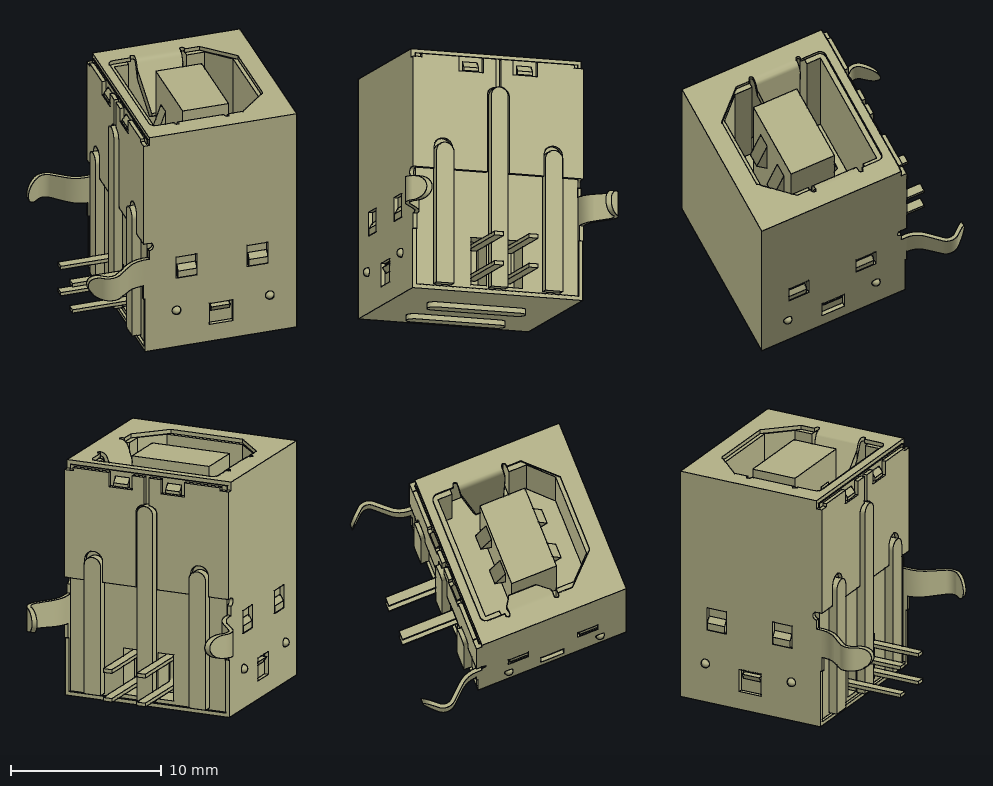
import cadquery as cq
import math


shell_width = 12.0
shell_depth = 10.7
shell_height = 16.25
sheet = 0.28
half_width = shell_width / 2
inner_half = half_width - sheet
inner_back = shell_depth - sheet
inner_top = shell_height - sheet

plate_edge_y = 0.4
foot_edge_y = 0.11
foot_top = 4.01
clip_bottom = 5.03
clip_top = 7.0
flap_bottom = 8.21
relief_radius = 0.28

flap_top = 15.88
flap_corner_top = 15.67
flap_corner_x = 5.37
seam_width = 0.34
latch_x = 1.9
latch_notch_width = 1.71
latch_notch_bottom = 14.9
middle_slot_half = 0.78
side_slot_inner = 3.22
side_slot_outer = 4.52
side_slot_top = 10.27

opening_back = 9.43
opening_back_half = 2.62
opening_half = 4.58
opening_shoulder_y = 7.4
opening_front = 0.99
opening_corner = 0.42

finger_root_x = 4.72
finger_front = 2.91
finger_back = 6.08
finger_slit = 0.3
finger_slit_end = 4.85
finger_taper_x = 4.08
finger_tip_x = 2.93
finger_tip_half = 0.96
finger_angle = math.radians(68)
finger_bend = 0.54
finger_length = 3.65
finger_middle = (finger_front + finger_back) / 2

clip_span = 14.9
clip_reach = 4.02
clip_angle = math.radians(42)
clip_first_bend_end = 1.26
clip_second_bend_end = 3.12
clip_tip_radius = 0.82
clip_tip_start = clip_reach - clip_tip_radius

upper_windows_y = (7.955, 3.0)
upper_window_length = 1.46
upper_window_bottom = 5.22
upper_window_top = 6.82
lower_window_y = 5.42
lower_window_length = 1.66
lower_window_bottom = 1.29
lower_window_top = 2.87
bumps_y = (8.8, 2.29)
bump_z = 2.79
bump_radius = 0.3
pads_y = (8.29, 4.29)
pad_length = 6.9
pad_width = 1.05
pad_height = 0.35

housing_face = 0.32
socket_back = 9.15
socket_back_half = 2.75
socket_half = 4.23
socket_shoulder_y = 7.66
socket_front = 1.35
socket_floor = 7.0
finger_pocket_front = 2.35
finger_pocket_back = 6.4
finger_pocket_x = 5.3

rib_face = -0.28
rib_bottom = 0.42
middle_rib_half = 0.58
middle_rib_top = 13.96
side_rib_outer = 4.45
side_rib_top = 9.93

catch_depth = 0.24
front_catch_width = 1.04
front_catch_bottom = 14.97
front_catch_crest = 15.2
front_catch_top = 15.6
upper_catch_length = 1.31
upper_catch_crest = 5.71
upper_catch_top = 6.12
lower_catch_length = 1.32
lower_catch_root = 2.17
lower_catch_top = 2.56
lower_pocket_top = 2.79

base_half = 3.0
base_front = 2.0
base_back = 8.0
base_top = 5.0
tongue_half = 2.82
tongue_front = 3.78
tongue_back = 6.98
contact_x = 1.25
contact_width = 0.98
contact_start = 14.0
contact_slope_end = 12.2
contact_crest_end = 11.9
contact_end = 11.0
contact_slope_rise = 0.65
contact_rise = 0.77
pin_x = 1.22
pin_width = 0.63
pin_thickness = 0.26
pins_z = (3.3, 1.3)
pin_reach = 3.49
pin_bend = 0.22
post_thickness = 0.26
pin_window_x = 1.26
pin_window_width = 1.11
pin_window_bottom = 0.55
pin_window_top = 3.75

SIDES = (-1, 1)


def box(x0, x1, y0, y1, z0, z1):
    """Block between two opposite corners."""
    size = (x1 - x0, y1 - y0, z1 - z0)
    middle = ((x0 + x1) / 2, (y0 + y1) / 2, (z0 + z1) / 2)
    return cq.Workplane("XY").box(*size).translate(middle)


def across_x(points, x0, x1):
    """Outline of (y, z) points extruded from x0 to x1."""
    return cq.Workplane("YZ").polyline(points).close().extrude(x1 - x0).translate((x0, 0, 0))


def mirrored(solid):
    """The solid together with its mirror image across the middle plane."""
    return solid.union(solid.mirror("YZ"))


def round_topped(x0, x1, y0, y1, z0, z1):
    """Upright bar from y0 to y1 whose top is a full half circle."""
    radius = (x1 - x0) / 2
    outline = (
        cq.Workplane("XZ", origin=(0, y1, 0))
        .moveTo(x0, z0)
        .lineTo(x1, z0)
        .lineTo(x1, z1 - radius)
        .threePointArc(((x0 + x1) / 2, z1), (x0, z1 - radius))
        .close()
    )
    return outline.extrude(y1 - y0)


def shell_box():
    """Hollow box with stepped front edges and an open lower front."""
    side_outline = [
        (shell_depth, 0),
        (shell_depth, shell_height),
        (plate_edge_y, shell_height),
        (plate_edge_y, flap_top),
        (0, flap_top),
        (0, flap_bottom),
        (plate_edge_y, flap_bottom),
        (plate_edge_y, clip_top),
        (0, clip_top),
        (0, foot_top),
        (foot_edge_y, foot_top),
        (foot_edge_y, 0),
    ]
    body = across_x(side_outline, -half_width, half_width)
    body = body.cut(box(-inner_half, inner_half, sheet, inner_back, sheet, inner_top))
    body = body.cut(box(-inner_half, inner_half, 0, plate_edge_y, sheet, flap_bottom))
    relief = (
        cq.Workplane("YZ")
        .center(plate_edge_y, flap_bottom - relief_radius)
        .circle(relief_radius)
        .extrude(half_width, both=True)
    )
    return body.cut(relief)


def flap_cutouts():
    """Seam, corner steps, latch notches and rib slots of the front flaps."""
    middle_slot = (
        box(-middle_slot_half, middle_slot_half, 0, sheet, flap_bottom, middle_rib_top)
        .edges("|Y and >Z")
        .fillet(middle_slot_half - seam_width / 2)
    )
    seam = box(-seam_width / 2, seam_width / 2, 0, sheet, flap_bottom, flap_top)
    corner = box(flap_corner_x, half_width, 0, plate_edge_y, flap_corner_top, flap_top)
    notch = box(
        latch_x - latch_notch_width / 2,
        latch_x + latch_notch_width / 2,
        0,
        plate_edge_y,
        latch_notch_bottom,
        flap_top,
    )
    side_slot = round_topped(side_slot_inner, side_slot_outer, 0, sheet, flap_bottom, side_slot_top)
    return middle_slot.union(seam).union(mirrored(corner.union(notch).union(side_slot)))


def opening_cutout():
    """Eight-sided socket opening with the slits beside the two fingers."""
    outline = [
        (-opening_back_half, opening_back),
        (opening_back_half, opening_back),
        (opening_half, opening_shoulder_y),
        (opening_half, opening_front),
        (-opening_half, opening_front),
        (-opening_half, opening_shoulder_y),
    ]
    hole = cq.Workplane("XY", origin=(0, 0, inner_top)).polyline(outline).close().extrude(sheet)
    hole = hole.edges("|Z and <Y").fillet(opening_corner)
    hole = hole.union(
        box(-finger_root_x, finger_root_x, finger_front, finger_back, inner_top, shell_height)
    )
    for slit_y in (finger_front - finger_slit / 2, finger_back + finger_slit / 2):
        slit = (
            cq.Workplane("XY", origin=(0, slit_y, inner_top))
            .slot2D(2 * finger_slit_end, finger_slit)
            .extrude(sheet)
        )
        hole = hole.union(slit)
    return hole


def finger():
    """Right-hand finger: bent down from the top plate and tapered towards its tip."""
    sin_a = math.sin(finger_angle)
    cos_a = math.cos(finger_angle)
    sin_half = math.sin(finger_angle / 2)
    cos_half = math.cos(finger_angle / 2)
    center_z = shell_height - finger_bend
    inner_bend = finger_bend - sheet

    def on_bend(radius, sine, cosine):
        return (finger_root_x - radius * sine, center_z + radius * cosine)

    outer_end = on_bend(finger_bend, sin_a, cos_a)
    inner_end = on_bend(inner_bend, sin_a, cos_a)
    step_x = -finger_length * cos_a
    step_z = -finger_length * sin_a
    strip = (
        cq.Workplane("XZ", origin=(0, finger_back, 0))
        .moveTo(finger_root_x, inner_top)
        .lineTo(finger_root_x, shell_height)
        .threePointArc(on_bend(finger_bend, sin_half, cos_half), outer_end)
        .lineTo(outer_end[0] + step_x, outer_end[1] + step_z)
        .lineTo(inner_end[0] + step_x, inner_end[1] + step_z)
        .lineTo(*inner_end)
        .threePointArc(on_bend(inner_bend, sin_half, cos_half), (finger_root_x, inner_top))
        .close()
        .extrude(finger_back - finger_front)
    )
    taper = [
        (finger_root_x, finger_front),
        (finger_root_x, finger_back),
        (finger_taper_x, finger_back),
        (finger_tip_x, finger_middle + finger_tip_half),
        (finger_tip_x, finger_middle - finger_tip_half),
        (finger_taper_x, finger_front),
    ]
    return strip.intersect(cq.Workplane("XY").polyline(taper).close().extrude(shell_height))


def clip():
    """Right-hand board clip: an S-bent strip with a tapered outline and a round tip."""
    sin_a = math.sin(clip_angle)
    cos_a = math.cos(clip_angle)
    first_radius = clip_first_bend_end / sin_a
    start_x = half_width - sheet / 2
    first_end_x = start_x + first_radius * (1 - cos_a)
    widest_x = clip_span / 2 - sheet / 2

    slope = math.tan(clip_angle)
    rise = widest_x - first_end_x - (clip_second_bend_end - clip_first_bend_end) * slope
    second_radius = rise / (1 - cos_a - 2 * sin_a * slope)
    second_start_y = clip_second_bend_end - 2 * second_radius * sin_a
    second_end_x = widest_x - second_radius * (1 - cos_a)
    tip_run = clip_reach - clip_second_bend_end + sheet

    half_a = clip_angle / 2
    first_middle = (
        start_x + first_radius * (1 - math.cos(half_a)),
        -first_radius * math.sin(half_a),
    )
    path = (
        cq.Workplane("XY")
        .moveTo(start_x, 0)
        .threePointArc(first_middle, (first_end_x, -clip_first_bend_end))
        .lineTo(second_end_x, -second_start_y)
        .threePointArc(
            (widest_x, -(second_start_y + clip_second_bend_end) / 2),
            (second_end_x, -clip_second_bend_end),
        )
        .lineTo(second_end_x - tip_run * slope, -clip_second_bend_end - tip_run)
    )
    strip = (
        cq.Workplane("XZ")
        .center(start_x, (clip_bottom + clip_top) / 2)
        .rect(sheet, clip_top - clip_bottom)
        .sweep(path)
    )
    tip_z = (clip_bottom + clip_top) / 2
    silhouette = (
        cq.Workplane("YZ")
        .moveTo(0, clip_bottom)
        .lineTo(0, clip_top)
        .lineTo(-clip_tip_start, tip_z + clip_tip_radius)
        .threePointArc((-clip_reach, tip_z), (-clip_tip_start, tip_z - clip_tip_radius))
        .close()
        .extrude(clip_span)
    )
    return strip.intersect(silhouette)


def side_windows():
    """Catch windows through both side walls."""
    cuts = box(
        -half_width,
        half_width,
        lower_window_y - lower_window_length / 2,
        lower_window_y + lower_window_length / 2,
        lower_window_bottom,
        lower_window_top,
    )
    for window_y in upper_windows_y:
        window = box(
            -half_width,
            half_width,
            window_y - upper_window_length / 2,
            window_y + upper_window_length / 2,
            upper_window_bottom,
            upper_window_top,
        )
        cuts = cuts.union(window)
    return cuts


def make_shell():
    body = shell_box().cut(flap_cutouts()).cut(opening_cutout()).cut(side_windows())
    body = body.union(mirrored(finger())).union(mirrored(clip()))
    inside = box(-inner_half, inner_half, sheet, inner_back, sheet, inner_top)
    for bump_y in bumps_y:
        for side in SIDES:
            bump = cq.Workplane("XY").sphere(bump_radius)
            body = body.union(bump.translate((side * half_width, bump_y, bump_z)).cut(inside))
    for pad_y in pads_y:
        pad = cq.Workplane("XY", origin=(0, pad_y, 0)).slot2D(pad_length, pad_width)
        body = body.union(pad.extrude(-pad_height))
    return body


def contact(side_y, face_y):
    """Outline in (y, z) of a contact bulging in direction side_y from the tongue face at face_y."""
    return [
        (face_y, contact_start),
        (face_y + side_y * contact_slope_rise, contact_slope_end),
        (face_y + side_y * contact_rise, contact_crest_end),
        (face_y, contact_end),
    ]


def pin_pair():
    """Post on the base face with the two board pins that leave it."""
    x0 = -pin_width / 2
    x1 = pin_width / 2
    post_face = base_front - post_thickness
    post = box(x0, x1, post_face, base_front, pins_z[1] - pin_thickness / 2, pin_window_top)
    for pin_z in pins_z:
        pin_top = pin_z + pin_thickness / 2
        post = post.union(box(x0, x1, -pin_reach, base_front, pin_top - pin_thickness, pin_top))
        bend = (
            cq.Workplane("YZ")
            .moveTo(post_face - pin_bend, pin_top)
            .radiusArc((post_face, pin_top + pin_bend), -pin_bend)
            .lineTo(post_face, pin_top)
            .close()
            .extrude(pin_width)
            .translate((x0, 0, 0))
        )
        post = post.union(bend)
    return post


def block_core():
    """Base with the tongue standing on it."""
    base = box(-base_half, base_half, base_front, base_back, sheet, base_top)
    return base.union(
        box(-tongue_half, tongue_half, tongue_front, tongue_back, base_top, inner_top)
    )


def make_contact_block():
    block = block_core()
    for side in SIDES:
        x0 = side * contact_x - contact_width / 2
        for side_y, face_y in ((-1, tongue_front), (1, tongue_back)):
            block = block.union(across_x(contact(side_y, face_y), x0, x0 + contact_width))
        block = block.union(pin_pair().translate((side * pin_x, 0, 0)))
    return block


def socket_cavity():
    """Socket well with a pocket behind each finger."""
    outline = [
        (-socket_back_half, socket_back),
        (socket_back_half, socket_back),
        (socket_half, socket_shoulder_y),
        (socket_half, socket_front),
        (-socket_half, socket_front),
        (-socket_half, socket_shoulder_y),
    ]
    well = (
        cq.Workplane("XY", origin=(0, 0, socket_floor))
        .polyline(outline)
        .close()
        .extrude(inner_top - socket_floor)
    )
    pockets = box(
        -finger_pocket_x,
        finger_pocket_x,
        finger_pocket_front,
        finger_pocket_back,
        socket_floor,
        inner_top,
    )
    return well.union(pockets)


def front_ribs():
    """Three upright ribs on the front face."""
    middle = round_topped(
        -middle_rib_half, middle_rib_half, rib_face, housing_face, rib_bottom, middle_rib_top
    )
    side = round_topped(
        side_slot_inner, side_rib_outer, rib_face, housing_face, rib_bottom, side_rib_top
    )
    return middle.union(mirrored(side))


def front_catches():
    """Wedges in the latch notches of the flaps."""
    crest_y = sheet - catch_depth
    profile = [
        (housing_face, front_catch_bottom),
        (crest_y, front_catch_bottom),
        (crest_y, front_catch_crest),
        (housing_face, front_catch_top),
    ]
    x0 = latch_x - front_catch_width / 2
    return mirrored(across_x(profile, x0, x0 + front_catch_width))


def side_catch(y_front, length, profile):
    """Mirrored pair of wedges on the side faces from an outline of (x, z) points."""
    wedge = cq.Workplane("XZ", origin=(0, y_front + length, 0)).polyline(profile).close()
    return mirrored(wedge.extrude(length))


def add_side_catches(body):
    """Two upper wedges sloping up and one lower wedge sloping down on each side."""
    crest_x = inner_half + catch_depth
    upper = [
        (inner_half, upper_window_bottom),
        (crest_x, upper_window_bottom),
        (crest_x, upper_catch_crest),
        (inner_half, upper_catch_top),
    ]
    for window_y in upper_windows_y:
        y_back = window_y + upper_window_length / 2
        body = body.union(side_catch(y_back - upper_catch_length, upper_catch_length, upper))
    lower = [
        (inner_half, lower_catch_root),
        (crest_x, lower_catch_top),
        (inner_half, lower_catch_top),
    ]
    y_front = lower_window_y - lower_catch_length / 2
    body = body.union(side_catch(y_front, lower_catch_length, lower))
    pocket = box(
        inner_half - catch_depth,
        inner_half,
        y_front,
        y_front + lower_catch_length,
        lower_catch_top,
        lower_pocket_top,
    )
    return body.cut(mirrored(pocket))


def make_housing():
    body = box(-inner_half, inner_half, housing_face, inner_back, sheet, inner_top)
    body = body.cut(socket_cavity()).cut(block_core())
    for side in SIDES:
        x0 = side * pin_window_x - pin_window_width / 2
        x1 = x0 + pin_window_width
        body = body.cut(box(x0, x1, housing_face, base_front, pin_window_bottom, pin_window_top))
    return add_side_catches(body.union(front_ribs()).union(front_catches()))


shell = make_shell()
contact_block = make_contact_block()
housing = make_housing()

result = cq.Compound.makeCompound([shell.val(), housing.val(), contact_block.val()])